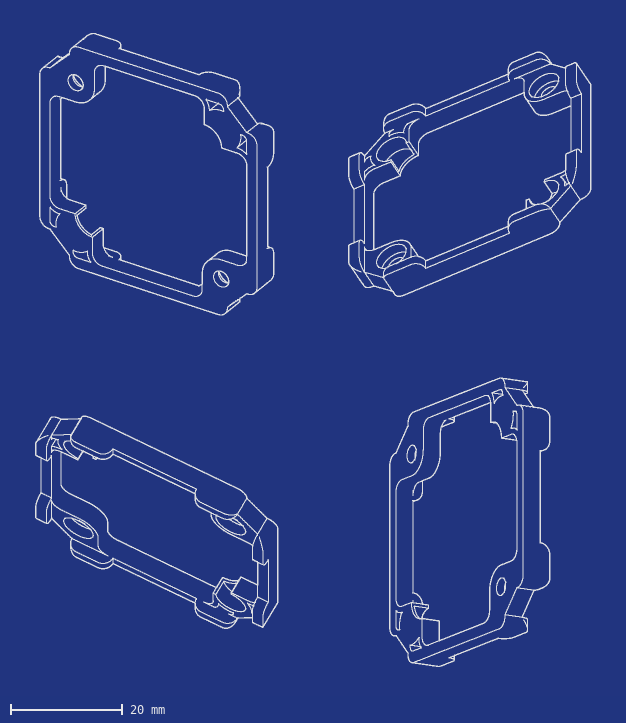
import cadquery as cq

side = 46.2
wall = 2.15
frame_depth = 3.6
half = side / 2
inner_half = half - wall

notch_edge = 16.8
outer_radius = 2.0

full_depth = 5.6
pad_start = 8.5
pad_end_radius = full_depth - frame_depth

screw_offset = 15.5
boss_radius = 4.0
screw_diameter = 3.2
opening_radius = 2.0

block_edge = 11.87
relief_radius = 3.7

head_radius = 3.0
boss_floor = 1.6
block_floor = 0.6

rib = 1.1
window_arc_radius = 4.2
window_end = 16.0
window_radius = 0.95

ALL_CORNERS = [(1, 1), (-1, 1), (-1, -1), (1, -1)]
BOSS_CORNERS = [(-1, 1), (1, -1)]
BLOCK_CORNERS = [(1, 1), (-1, -1)]


def at_corners(corners, offset):
    return [(offset * sx, offset * sz) for sx, sz in corners]


def face(start=0.0):
    """Sketch plane with local axes X and Z, at Y = start."""
    return cq.Workplane("XZ", origin=(0, start, 0))


def prism(sketch, depth):
    """Extrude a sketch toward +Y."""
    return sketch.extrude(-depth)


def outer_body(depth):
    """Solid square with notched corners."""
    body = prism(face().rect(side, side), depth)
    for sx, sz in ALL_CORNERS:
        corner = [
            (notch_edge, half),
            (notch_edge, inner_half),
            (inner_half, notch_edge),
            (half, notch_edge),
            (half, half),
        ]
        outline = [(sx * x, sz * z) for x, z in corner]
        body = body.cut(prism(face().polyline(outline).close(), depth))
    on_side = lambda edge: max(abs(edge.Center().x), abs(edge.Center().z)) > inner_half + wall / 2
    return body.edges("|Y").filter(on_side).fillet(outer_radius)


def corner_square(sx, sz, inner_edge):
    """Square block that fills the opening from a corner in to inner_edge."""
    size = half - inner_edge
    middle = inner_edge + size / 2
    return prism(face().center(sx * middle, sz * middle).rect(size, size), full_depth)


def opening():
    """Central opening, running around the four corner blocks."""
    space = prism(face().rect(2 * inner_half, 2 * inner_half), full_depth)
    boss_edge = screw_offset - boss_radius
    for sx, sz in BOSS_CORNERS:
        block = corner_square(sx, sz, boss_edge)
        inner_edges = "<X" if sx > 0 else ">X"
        inner_edges += " and <Z" if sz > 0 else " and >Z"
        space = space.cut(block.edges("|Y").edges(inner_edges).fillet(boss_radius))
    for sx, sz in BLOCK_CORNERS:
        space = space.cut(corner_square(sx, sz, block_edge))
    on_wall = lambda edge: max(abs(edge.Center().x), abs(edge.Center().z)) > inner_half - 0.005
    space = space.edges("|Y").filter(on_wall).fillet(opening_radius)
    reliefs = face().pushPoints(at_corners(BLOCK_CORNERS, block_edge)).circle(relief_radius)
    return space.union(prism(reliefs, full_depth))


def pads():
    """Two pads on each wall, rounded at both ends and following the outer outline."""
    length = notch_edge - pad_start
    middle = pad_start + length / 2
    bar = (
        cq.Workplane("XY")
        .box(length, full_depth, wall)
        .edges(">Y and |Z")
        .fillet(pad_end_radius - 0.005)
        .translate((middle, full_depth / 2, half - wall / 2))
    )
    pair = bar.union(bar.mirror("YZ"))
    bars = pair
    for angle in (90, 180, 270):
        bars = bars.union(pair.rotate((0, 0, 0), (0, 1, 0), angle))
    return bars.intersect(outer_body(full_depth))


def windows():
    """Two windows through each block corner, alike across the diagonal."""
    rib_center = (block_edge - opening_radius, inner_half - opening_radius)
    left = rib_center[0]
    width = window_end - left
    height = inner_half - screw_offset
    window = prism(
        face().center(left + width / 2, inner_half - height / 2).rect(width, height), full_depth
    )
    window = window.edges("|Y and >X and >Z").fillet(window_radius)
    window = window.cut(prism(face().center(screw_offset, screw_offset).circle(window_arc_radius), full_depth))
    window = window.cut(prism(face().center(*rib_center).circle(opening_radius + rib), full_depth))
    pair = window.union(window.mirror(cq.Vector(1, 0, -1)))
    return pair.union(pair.rotate((0, 0, 0), (0, 1, 0), 180))


def round_holes(corners, radius, start=0.0):
    """Cylinders at the screw positions of the given corners, from Y = start to past the back."""
    centers = at_corners(corners, screw_offset)
    return prism(face(start).pushPoints(centers).circle(radius), full_depth)


result = (
    outer_body(frame_depth)
    .cut(opening())
    .cut(round_holes(BOSS_CORNERS, screw_diameter / 2))
    .cut(round_holes(BOSS_CORNERS, head_radius, boss_floor))
    .cut(round_holes(BLOCK_CORNERS, head_radius, block_floor))
    .cut(windows())
    .union(pads())
)